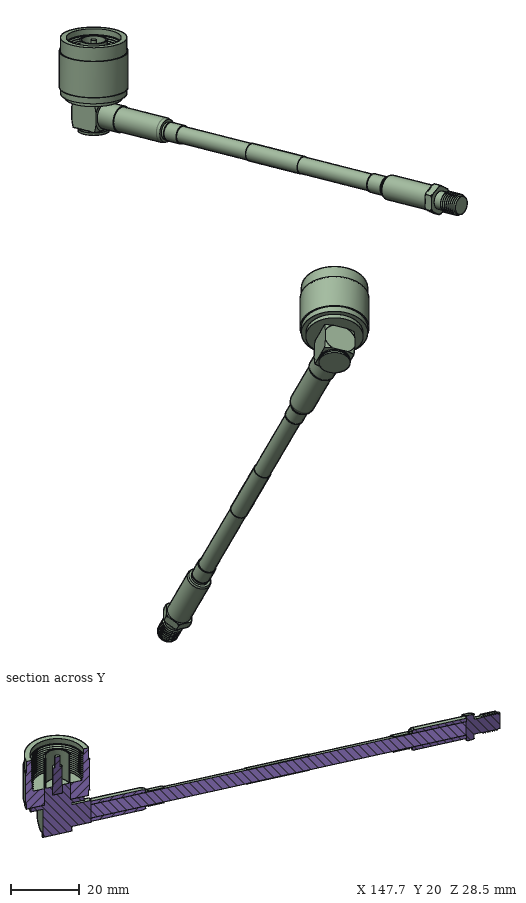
import cadquery as cq
import math


NUT_BOTTOM = 5.8
NUT_TOP = 22.9
NUT_DIAMETER = 19.4
NUT_RADIUS = NUT_DIAMETER / 2
GRIP_RADIUS = 10.0
GRIP_BOTTOM = 7.7
GRIP_TOP = 18.8
NUT_FLOOR = 11.8
NUT_THREAD_MINOR_RADIUS = 7.5
NUT_THREAD_MAJOR_RADIUS = 8.0
NUT_MOUTH_DEPTH = 1.8
NUT_THREAD_PITCH = 0.71
NUT_THREAD_TURNS = 12

BLOCK_WIDTH = 9.2
BLOCK_BOTTOM = -4.3
BLOCK_TOP = 4.5
CAP_BOTTOM = -5.6
CAP_NECK_BOTTOM = -4.9
CAP_NECK_RADIUS = 4.5
CORNER_CONE_RADIUS = 4.9
CORNER_CONE_DEPTH = 0.7
CORNER_CONE_SPREAD = 1.8
FLANGE_DIAMETER = 16.7
FLANGE_RADIUS = FLANGE_DIAMETER / 2
ARM_RADIUS = 4.0
ARM_END = 10.5
SLEEVE_RADIUS = 4.0
SLEEVE_BORE_RADIUS = 3.5
SLEEVE_TOP = 22.2

PIN_RADIUS = 1.5
PIN_TIP_RADIUS = 0.81
PIN_SHOULDER = 18.5
PIN_TOP = 22.2
PIN_SOCKET_DEPTH = 3.0

CABLE_RADIUS = 2.5
BOOT_RADIUS = 2.8
LEFT_BOOT_END = 33.1
RIGHT_BOOT_START = 104.5
MARKER_RADIUS = 2.7
MARKER_START = 59.0
MARKER_END = 78.3

FERRULE_RADIUS = 3.7
FERRULE_LIP_RADIUS = 2.7
FERRULE_LIP_LENGTH = 0.9
LEFT_FERRULE_END = 27.5
LEFT_FERRULE_CHAMFER_LENGTH = 1.0
RIGHT_FERRULE_START = 110.3
RIGHT_FERRULE_CHAMFER_LENGTH = 0.6
FERRULE_CHAMFER_HEIGHT = 0.3

HEX_START = 127.2
HEX_END = 129.7
HEX_ACROSS_CORNERS = 9.2
HEX_CHAMFER_LENGTH = 0.5
HEX_CHAMFER_HEIGHT = 0.3
END_DIAMETER = 5.5
END_RADIUS = END_DIAMETER / 2
END_THREAD_DIAMETER = 6.4
END_THREAD_RADIUS = END_THREAD_DIAMETER / 2
END_THREAD_START = 132.0
END_THREAD_PITCH = 0.71
END_THREAD_TURNS = 7
TOTAL_LENGTH = 147.7
TIP_X = TOTAL_LENGTH - GRIP_RADIUS


def z_cylinder(radius, bottom, top):
    return cq.Workplane("XY").workplane(offset=bottom).circle(radius).extrude(top - bottom)


def x_cylinder(radius, start, end):
    return cq.Workplane("YZ").workplane(offset=start).circle(radius).extrude(end - start)


def x_chamfered_cylinder(radius, start, end, chamfer_length, chamfer_height):
    """Cylinder along X with both end edges cut back to a cone."""
    end_radius = radius - chamfer_height
    points = [
        (start, 0),
        (start, end_radius),
        (start + chamfer_length, radius),
        (end - chamfer_length, radius),
        (end, end_radius),
        (end, 0),
    ]
    return x_revolve(points)


def x_revolve(points):
    return cq.Workplane("XZ").polyline(points).close().revolve(360, (0, 0, 0), (1, 0, 0))


def x_tube(radius, bore_radius, start, end):
    return x_cylinder(radius, start, end).cut(x_cylinder(bore_radius, start, end))


def make_nut():
    """Coupling nut with a threaded bore whose floor fits round the elbow's sleeve."""
    nut = z_cylinder(NUT_RADIUS, NUT_BOTTOM, NUT_TOP)
    nut = nut.union(z_cylinder(GRIP_RADIUS, GRIP_BOTTOM, GRIP_TOP))
    nut = nut.cut(z_cylinder(SLEEVE_RADIUS, NUT_BOTTOM, NUT_FLOOR))
    return nut.cut(make_nut_bore())


def make_nut_bore():
    """Space inside the nut: plain mouth, ring-shaped thread grooves and plain bottom."""
    mouth_bottom = NUT_TOP - NUT_MOUTH_DEPTH
    points = [
        (0, NUT_TOP),
        (NUT_THREAD_MAJOR_RADIUS, NUT_TOP),
        (NUT_THREAD_MAJOR_RADIUS, mouth_bottom),
        (NUT_THREAD_MINOR_RADIUS, mouth_bottom),
    ]
    for turn in range(NUT_THREAD_TURNS):
        groove_top = mouth_bottom - turn * NUT_THREAD_PITCH
        points.append((NUT_THREAD_MAJOR_RADIUS, groove_top - NUT_THREAD_PITCH / 2))
        points.append((NUT_THREAD_MINOR_RADIUS, groove_top - NUT_THREAD_PITCH))
    points.append((NUT_THREAD_MINOR_RADIUS, NUT_FLOOR))
    points.append((0, NUT_FLOOR))
    return cq.Workplane("XZ").polyline(points).close().revolve(360, (0, 0, 0), (0, 1, 0))


def make_block():
    """Elbow block whose corners are turned down by a cone at both X ends, over a necked round cap."""
    half_width = BLOCK_WIDTH / 2
    block = cq.Workplane("XY").box(BLOCK_WIDTH, BLOCK_WIDTH, BLOCK_TOP - BLOCK_BOTTOM)
    block = block.translate((0, 0, (BLOCK_TOP + BLOCK_BOTTOM) / 2))
    turned_shape = x_chamfered_cylinder(
        CORNER_CONE_RADIUS + CORNER_CONE_SPREAD,
        -half_width,
        half_width,
        CORNER_CONE_DEPTH,
        CORNER_CONE_SPREAD,
    )
    cap = z_cylinder(half_width, CAP_BOTTOM, CAP_NECK_BOTTOM)
    cap = cap.union(z_cylinder(CAP_NECK_RADIUS, CAP_NECK_BOTTOM, BLOCK_BOTTOM))
    return block.intersect(turned_shape).union(cap)


def make_elbow():
    """Right-angle body: block, cable arm, flange under the nut and sleeve inside it."""
    elbow = make_block()
    elbow = elbow.union(x_cylinder(ARM_RADIUS, 0, ARM_END))
    elbow = elbow.union(z_cylinder(FLANGE_RADIUS, BLOCK_TOP, NUT_BOTTOM))
    elbow = elbow.union(z_cylinder(SLEEVE_RADIUS, BLOCK_TOP, SLEEVE_TOP))
    elbow = elbow.cut(z_cylinder(SLEEVE_BORE_RADIUS, NUT_FLOOR, SLEEVE_TOP))
    return elbow.cut(z_cylinder(PIN_RADIUS, NUT_FLOOR - PIN_SOCKET_DEPTH, NUT_FLOOR))


def make_pin():
    """Stepped contact pin standing in a socket in the elbow."""
    shank = z_cylinder(PIN_RADIUS, NUT_FLOOR - PIN_SOCKET_DEPTH, PIN_SHOULDER)
    tip = z_cylinder(PIN_TIP_RADIUS, PIN_SHOULDER, PIN_TOP)
    return shank.union(tip)


def make_ferrule(base_x, rim_x, chamfer_length):
    """Crimp tube from base_x to rim_x, chamfered at the rim, with a thin lip beyond it."""
    outward = math.copysign(1, rim_x - base_x)
    lip_x = rim_x + outward * FERRULE_LIP_LENGTH
    points = [
        (base_x, CABLE_RADIUS),
        (base_x, FERRULE_RADIUS),
        (rim_x - outward * chamfer_length, FERRULE_RADIUS),
        (rim_x, FERRULE_RADIUS - FERRULE_CHAMFER_HEIGHT),
        (rim_x, FERRULE_LIP_RADIUS),
        (lip_x, FERRULE_LIP_RADIUS),
        (lip_x, CABLE_RADIUS),
    ]
    return x_revolve(points)


def make_end_connector():
    """Hexagon collar with two flats square to Y, then a round nose with thread ridges."""
    points = [(HEX_END, 0), (HEX_END, END_RADIUS), (END_THREAD_START, END_RADIUS)]
    for turn in range(END_THREAD_TURNS):
        ridge_start = END_THREAD_START + turn * END_THREAD_PITCH
        points.append((ridge_start + END_THREAD_PITCH / 2, END_THREAD_RADIUS))
        points.append((ridge_start + END_THREAD_PITCH, END_RADIUS))
    points.append((TIP_X, END_RADIUS))
    points.append((TIP_X, 0))
    nose = x_revolve(points)
    return make_hex_collar().union(nose)


def make_hex_collar():
    """Hexagon with its corners turned down at both ends."""
    hexagon = (
        cq.Workplane("YZ")
        .workplane(offset=HEX_START)
        .transformed(rotate=(0, 0, 90))
        .polygon(6, HEX_ACROSS_CORNERS)
        .extrude(HEX_END - HEX_START)
    )
    turned_shape = x_chamfered_cylinder(
        HEX_ACROSS_CORNERS / 2,
        HEX_START,
        HEX_END,
        HEX_CHAMFER_LENGTH,
        HEX_CHAMFER_HEIGHT,
    )
    return hexagon.intersect(turned_shape)


nut = make_nut()
elbow = make_elbow()
pin = make_pin()
cable = x_cylinder(CABLE_RADIUS, ARM_END, HEX_START)
marker = x_tube(MARKER_RADIUS, CABLE_RADIUS, MARKER_START, MARKER_END)
end_connector = make_end_connector()

ferrules = [
    make_ferrule(ARM_END, LEFT_FERRULE_END, LEFT_FERRULE_CHAMFER_LENGTH),
    make_ferrule(HEX_START, RIGHT_FERRULE_START, RIGHT_FERRULE_CHAMFER_LENGTH),
]

boot_spans = [
    (LEFT_FERRULE_END + FERRULE_LIP_LENGTH, LEFT_BOOT_END),
    (RIGHT_BOOT_START, RIGHT_FERRULE_START - FERRULE_LIP_LENGTH),
]
boots = [x_tube(BOOT_RADIUS, CABLE_RADIUS, start, end) for start, end in boot_spans]

single_bodies = [nut, elbow, pin, cable, marker, end_connector]
result = cq.Compound.makeCompound([body.val() for body in single_bodies + ferrules + boots])